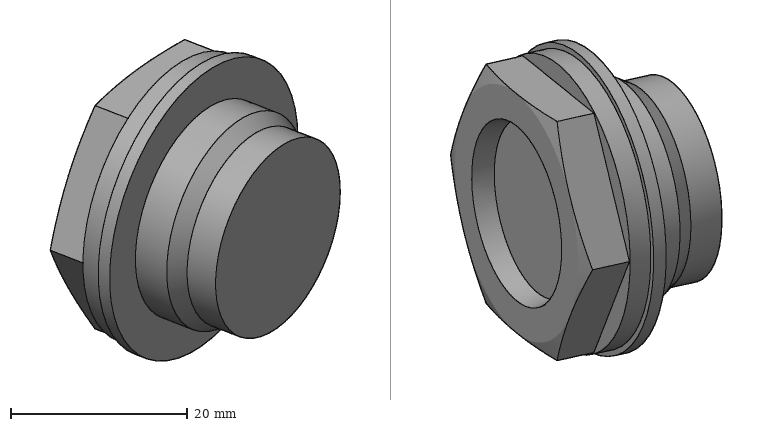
import cadquery as cq
import math

total_length = 20.0
head_length = 5.35
flange_length = 2.65
washer_length = 1.6
body_length = 4.4
taper_length = 2.0
spigot_length = total_length - (
    head_length + flange_length + washer_length + body_length + taper_length
)

across_flats = 30.0
across_corners = across_flats / math.cos(math.radians(30))
flange_diameter = 35.0
washer_diameter = 36.4
body_diameter = 26.44
spigot_diameter = 24.1
head_chamfer_angle = 15.0

recess_floor_diameter = 21.0
recess_depth = 2.65
recess_wall_angle = 10.0
recess_mouth_diameter = recess_floor_diameter + 2 * recess_depth * math.tan(math.radians(recess_wall_angle))


def cylinder(start, length, diameter):
    """Round section along +X beginning at X = start."""
    return cq.Workplane("YZ", origin=(start, 0, 0)).circle(diameter / 2).extrude(length)


def cone(start, length, start_diameter, end_diameter):
    """Conical section along +X between two diameters."""
    return cq.Workplane("XY").add(
        cq.Solid.makeCone(
            start_diameter / 2, end_diameter / 2, length,
            cq.Vector(start, 0, 0), cq.Vector(1, 0, 0),
        )
    )


def hexagonal_head():
    """Hexagon with flats facing +/-Z and its outer corners chamfered by a cone."""
    chamfer_depth = (across_corners - across_flats) / 2 * math.tan(math.radians(head_chamfer_angle))
    hexagon = cq.Workplane("YZ").polygon(6, across_corners).extrude(head_length)
    envelope = cone(0, chamfer_depth, across_flats, across_corners).union(
        cylinder(chamfer_depth, head_length - chamfer_depth, across_corners)
    )
    return hexagon.intersect(envelope)


def stepped_shank():
    """Flange, washer collar, body, taper and spigot stacked behind the head."""
    washer_start = head_length + flange_length
    body_start = washer_start + washer_length
    taper_start = body_start + body_length
    spigot_start = taper_start + taper_length
    return (
        cylinder(head_length, flange_length, flange_diameter)
        .union(cylinder(washer_start, washer_length, washer_diameter))
        .union(cylinder(body_start, body_length, body_diameter))
        .union(cone(taper_start, taper_length, body_diameter, spigot_diameter))
        .union(cylinder(spigot_start, spigot_length, spigot_diameter))
    )


recess = cone(0, recess_depth, recess_mouth_diameter, recess_floor_diameter)
result = hexagonal_head().union(stepped_shank()).cut(recess)